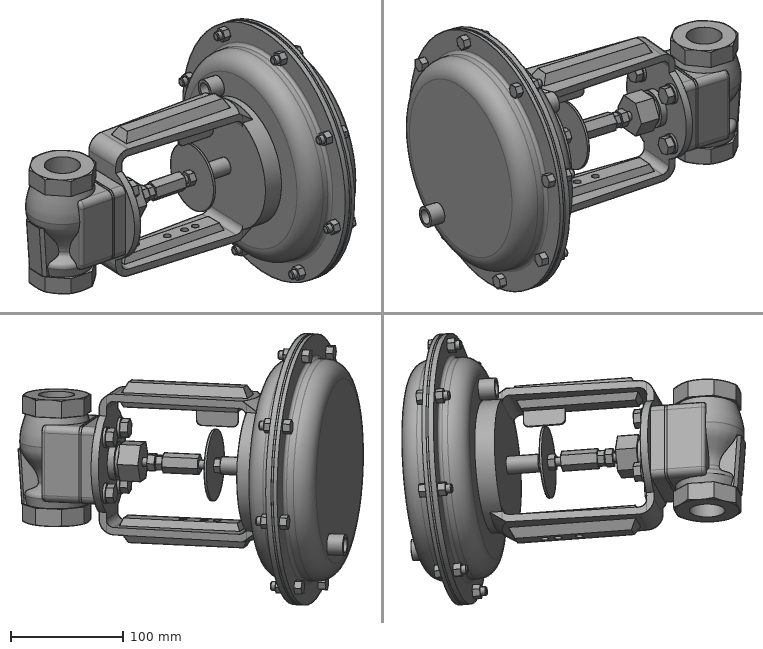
import cadquery as cq
import math


flange_radius = 120.7
flange_half = 5.2
dome_radius = 99.0
dome_corner = 16.5
dome_root = 3.0
y_dome_top = 31.0
y_dome_bottom = -30.0

diaphragm_thick = 1.8
y_diaphragm_top = 1.5
diaphragm_inset = 0.18

bolt_count = 8
bolt_circle = 111.2
bolt_first_angle = 30
bolt_hex_corners = 13.0
bolt_head = 6.8
stud_radius = 4.0
stud_overhang = 5.2
stud_chamfer = 1.0

vent_x = 35.0
vent_z = 60.2
vent_radius = 9.5
vent_bore = 6.8
y_vent_top = 45.5
y_vent_bottom = -45.0

hub_radius = 59.3
y_hub_face = -48.0
plate = 6.8
yoke_outer_z = 63.5
yoke_inner_z = yoke_outer_z - plate
yoke_bend = 7.0
leg_half_top = 25.5
leg_half_bottom = 20.0
y_seat_bottom = -184.5
y_seat_top = y_seat_bottom + plate
seat_radius = 48.0
y_flare_start = -37.0
y_flare_end = -52.0
flare_radius = 68.8

rib_half = 11.0
rib_slope = 5.0
outer_rib_height = 9.0
y_outer_rib = (-50.7, -166.2)
inner_rib_height = 6.8
inner_rib_slope = 3.0
y_inner_rib = (-57.8, -168.3)
rib_hole_radius = 3.5
y_rib_holes = (-81.5, -93.5, -112.7)

scale_thick = 1.8
scale_corner = 5.0
scale_bottom_z = 35.3
y_scale = (-62.0, -100.0)

disc_radius = 32.0
disc_thick = 2.0
y_disc = -83.0

stem_radius = 4.0
actuator_rod_radius = 8.0
y_rod_end = -76.8
jam_nut_flats = 12.3
y_jam_nut_end = -91.5
coupling_corners = 18.0
coupling_turn = 15
y_coupling = (-97.5, -130.2)
lock_nut_flats = 14.0
y_thin_nut_end = -136.5
y_lock_nut = (-137.3, -144.0)

block_half = 34.7
block_corner = 6.5
y_packing_nut = (-149.3, -168.3)
packing_nut_flats = 33.0
neck_radius = 14.5
collar_radius = 17.2
y_collar_top = -171.7
gasket_thick = 2.0
gasket_inset = 0.18
y_joint = -199.5
screw_place = 25.2
screw_corners = 17.0
screw_turn = 15
screw_head = 7.0
screw_shank = 4.5
washer_radius = 9.2
washer_thick = 2.5

y_valve = -229.0
y_block_end = -234.0
block_end_round = 3.5
end_flats = 56.8
end_chamfer = 1.0
end_outer_z = 57.0
end_inner_z = 41.2
port_radius = 16.0
port_depth = 30.7
globe_end_radius = 27.0
globe_entry = (0.3, -1)
globe_belly = (33.0, 14.7)
globe_waist = (18.5, -20.5)
globe_foot = (29.0, -32.5)
pad_half = 12.5
pad_bevel = 3.0
pad_top_z = 8.0
y_pad_front = -261.7
y_pad_foot = -258.5


def cylinder(radius, y_start, y_end, x=0, z=0):
    """Round bar along Y, running from y_start down to y_end."""
    return cq.Workplane("XZ", origin=(x, y_start, z)).circle(radius).extrude(y_start - y_end)


def hexagon(corners, y_start, y_end, turn=0, x=0, z=0):
    """Hexagonal bar along Y; at turn 0 two corners lie along X."""
    bar = cq.Workplane("XZ").polygon(6, corners).extrude(y_start - y_end)
    return bar.rotate((0, 0, 0), (0, 1, 0), turn).translate((x, y_start, z))


def corners_from_flats(flats, sides=6):
    return flats / math.cos(math.pi / sides)


def square_block(half, y_start, y_end):
    """Square block along Y with rounded long edges."""
    block = cq.Workplane("XZ", origin=(0, y_start, 0)).rect(2 * half, 2 * half).extrude(y_start - y_end)
    return block.edges("|Y").fillet(block_corner)


def casing_shell():
    flange = cylinder(flange_radius, flange_half, -flange_half)
    groove = cylinder(flange_radius, y_diaphragm_top, y_diaphragm_top - diaphragm_thick).cut(
        cylinder(flange_radius - diaphragm_inset, y_diaphragm_top, y_diaphragm_top - diaphragm_thick)
    )
    domes = cylinder(dome_radius, y_dome_top, y_dome_bottom).faces("<Y or >Y").edges().fillet(dome_corner)
    shell = flange.cut(groove).union(domes)
    for y_root in (flange_half, -flange_half):
        root = cq.selectors.BoxSelector(
            (-dome_radius - 0.3, y_root - 0.3, -dome_radius - 0.3),
            (dome_radius + 0.3, y_root + 0.3, dome_radius + 0.3),
            boundingbox=True,
        )
        shell = shell.edges(root).fillet(dome_root)
    return shell


def flange_bolt(angle):
    x = bolt_circle * math.cos(math.radians(angle))
    z = bolt_circle * math.sin(math.radians(angle))
    y_nut_end = -flange_half - bolt_head
    head = hexagon(bolt_hex_corners, flange_half + bolt_head, flange_half, -angle, x, z)
    nut = hexagon(bolt_hex_corners, -flange_half, y_nut_end, -angle, x, z)
    stud = cylinder(stud_radius, 0, y_nut_end - stud_overhang, x, z).faces("<Y").chamfer(stud_chamfer)
    return head.union(nut).union(stud)


def make_casing():
    body = casing_shell()
    for i in range(bolt_count):
        body = body.union(flange_bolt(bolt_first_angle + i * 360 / bolt_count))
    body = body.union(cylinder(vent_radius, y_vent_top, 0, vent_x, -vent_z))
    body = body.cut(cylinder(vent_bore, y_vent_top, y_dome_top, vent_x, -vent_z))
    body = body.union(cylinder(vent_radius, 0, y_vent_bottom, -vent_x, vent_z))
    return body.cut(cylinder(vent_bore, y_dome_bottom, y_vent_bottom, -vent_x, vent_z))


def strap():
    wide = 2 * leg_half_top
    y_mid_out = (y_dome_bottom + y_seat_bottom) / 2
    y_mid_in = (y_hub_face + y_seat_top) / 2
    outer = cq.Workplane("XY").box(wide, y_dome_bottom - y_seat_bottom, 2 * yoke_outer_z)
    outer = outer.translate((0, y_mid_out, 0)).edges("|X and <Y").fillet(yoke_bend + plate)
    window = cq.Workplane("XY").box(wide, y_hub_face - y_seat_top, 2 * yoke_inner_z)
    window = window.translate((0, y_mid_in, 0)).edges("|X").fillet(yoke_bend)
    outline = (
        cq.Workplane("XY", origin=(0, 0, -yoke_outer_z))
        .polyline([
            (-leg_half_top, y_dome_bottom),
            (-leg_half_top, y_hub_face),
            (-leg_half_bottom, y_seat_top),
            (-leg_half_bottom, y_seat_bottom),
            (leg_half_bottom, y_seat_bottom),
            (leg_half_bottom, y_seat_top),
            (leg_half_top, y_hub_face),
            (leg_half_top, y_dome_bottom),
        ])
        .close()
        .extrude(2 * yoke_outer_z)
    )
    return outer.cut(window).intersect(outline).cut(hub_flare())


def hub_flare():
    """Ring cut away round the hub, leaving the strap ends flaring out of it."""
    return (
        cq.Workplane("XY")
        .polyline([
            (hub_radius, y_dome_bottom),
            (hub_radius, y_flare_start),
            (flare_radius, y_flare_end),
            (flare_radius, y_dome_bottom),
        ])
        .close()
        .revolve(360, (0, 0, 0), (0, 1, 0))
    )


def rib(side, start_z, height, slope, y_ends, outward):
    """Rib with four sloping sides on one leg; side is +1 for the upper leg and -1 for the lower."""
    y_start, y_end = y_ends
    direction = side if outward else -side
    angle = math.degrees(math.atan2(slope, height))
    plane = cq.Plane((0, (y_start + y_end) / 2, side * start_z), (1, 0, 0), (0, 0, direction))
    return cq.Workplane(plane).rect(2 * rib_half, y_start - y_end).extrude(height, taper=angle)


def scale_plate():
    y_start, y_end = y_scale
    height = yoke_inner_z - scale_bottom_z
    blank = cq.Workplane("XY").box(scale_thick, y_start - y_end, height)
    blank = blank.edges("|X and <Z").fillet(scale_corner)
    return blank.translate((0, (y_start + y_end) / 2, scale_bottom_z + height / 2))


def make_yoke():
    body = strap().union(cylinder(hub_radius, y_dome_bottom, y_hub_face))
    body = body.union(cylinder(seat_radius, y_seat_top, y_seat_bottom))
    for side in (1, -1):
        body = body.union(rib(side, yoke_outer_z, outer_rib_height, rib_slope, y_outer_rib, True))
        body = body.union(rib(side, yoke_inner_z, inner_rib_height, inner_rib_slope, y_inner_rib, False))
    lower_holes = (
        cq.Workplane("XY", origin=(0, 0, -yoke_outer_z - outer_rib_height))
        .pushPoints([(0, y) for y in y_rib_holes])
        .circle(rib_hole_radius)
        .extrude(outer_rib_height + plate + inner_rib_height)
    )
    body = body.cut(lower_holes).union(scale_plate())
    body = body.cut(cylinder(neck_radius, y_seat_top, y_seat_bottom))
    for x, z in screw_places():
        body = body.cut(cylinder(screw_shank, y_seat_top, y_seat_bottom, x, z))
    return body


def make_disc():
    return cylinder(disc_radius, y_disc, y_disc - disc_thick).cut(
        cylinder(stem_radius, y_disc, y_disc - disc_thick)
    )


def make_stem():
    jam_corners = corners_from_flats(jam_nut_flats)
    body = cylinder(actuator_rod_radius, y_hub_face, y_rod_end)
    body = body.union(cylinder(stem_radius, y_rod_end, y_packing_nut[1]))
    body = body.union(hexagon(jam_corners, y_rod_end, y_disc))
    body = body.union(hexagon(jam_corners, y_disc - disc_thick, y_jam_nut_end))
    body = body.union(hexagon(coupling_corners, *y_coupling, coupling_turn))
    body = body.union(hexagon(jam_corners, y_coupling[1], y_thin_nut_end))
    return body.union(hexagon(corners_from_flats(lock_nut_flats), *y_lock_nut))


def screw_places():
    return [(sx * screw_place, sz * screw_place) for sx in (1, -1) for sz in (1, -1)]


def cap_screw(x, z):
    y_washer_top = y_seat_top + washer_thick
    head = hexagon(screw_corners, y_washer_top + screw_head, y_washer_top, screw_turn, x, z)
    washer = cylinder(washer_radius, y_washer_top, y_seat_top, x, z)
    shank = cylinder(screw_shank, y_seat_top, y_seat_bottom, x, z)
    return head.union(washer).union(shank)


def make_bonnet():
    body = square_block(block_half, y_seat_bottom, y_joint + gasket_thick)
    body = body.union(square_block(block_half - gasket_inset, y_joint + gasket_thick, y_joint))
    body = body.union(cylinder(neck_radius, y_packing_nut[1], y_seat_bottom))
    body = body.union(cylinder(collar_radius, y_collar_top, y_seat_top))
    body = body.union(hexagon(corners_from_flats(packing_nut_flats), *y_packing_nut))
    for x, z in screw_places():
        body = body.union(cap_screw(x, z))
    return body.cut(cylinder(stem_radius, *y_packing_nut))


def globe():
    """Turned globe whose belly, waist and foot all run parallel to the port axis."""
    down = (0, -1)
    return (
        cq.Workplane("XZ", origin=(0, y_valve, 0))
        .moveTo(0, end_inner_z)
        .lineTo(globe_end_radius, end_inner_z)
        .spline([globe_belly], tangents=[globe_entry, down], includeCurrent=True)
        .spline([globe_waist], tangents=[down, down], includeCurrent=True)
        .spline([globe_foot], tangents=[down, down], includeCurrent=True)
        .lineTo(globe_end_radius, -end_inner_z)
        .lineTo(0, -end_inner_z)
        .close()
        .revolve(360, (0, 0, 0), (0, 1, 0))
    )


def octagon_end(side):
    """Octagonal end with its outer corners turned down; side is +1 for the upper end."""
    corners = corners_from_flats(end_flats, 8)
    length = end_outer_z - end_inner_z
    bar = cq.Workplane("XY").polygon(8, corners).extrude(length).rotate((0, 0, 0), (0, 0, 1), 180 / 8)
    turned = cq.Workplane("XY").circle(corners / 2).extrude(length)
    turned = turned.faces(">Z").chamfer(end_chamfer, (corners - end_flats) / 2)
    end = bar.intersect(turned).translate((0, y_valve, end_inner_z))
    return end if side > 0 else end.mirror("XY")


def front_pad():
    pad = (
        cq.Workplane("YZ")
        .polyline([
            (y_valve, pad_top_z),
            (y_pad_front, pad_top_z),
            (y_pad_foot, -end_inner_z),
            (y_valve, -end_inner_z),
        ])
        .close()
        .extrude(pad_half, both=True)
    )
    return pad.faces("<Y").edges("not(|X)").chamfer(pad_bevel)


def make_valve():
    body = square_block(block_half, y_joint, y_block_end).faces("<Y").edges().fillet(block_end_round)
    body = body.union(globe()).union(front_pad())
    for side in (1, -1):
        body = body.union(octagon_end(side))
        port_start = side * end_outer_z
        port = cq.Workplane("XY", origin=(0, y_valve, port_start)).circle(port_radius).extrude(-side * port_depth)
        body = body.cut(port)
    return body


casing = make_casing()
yoke = make_yoke()
disc = make_disc()
stem = make_stem()
bonnet = make_bonnet()
valve = make_valve()

result = cq.Compound.makeCompound([
    casing.val(),
    yoke.val(),
    disc.val(),
    stem.val(),
    bonnet.val(),
    valve.val(),
])